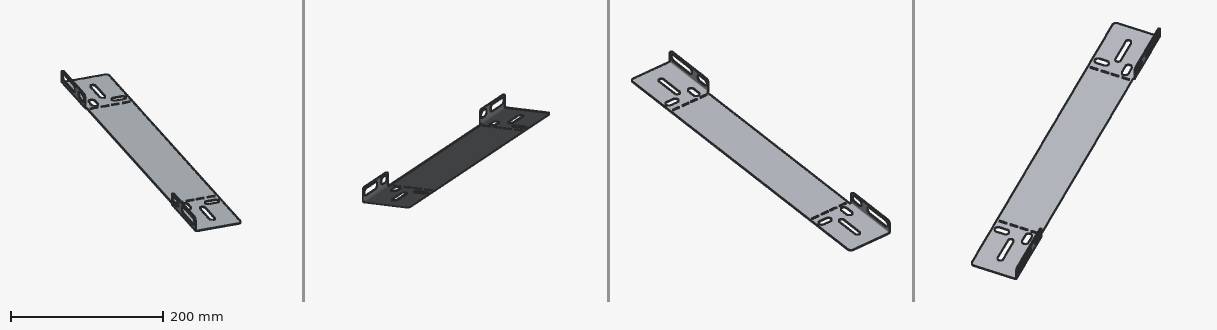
import cadquery as cq

length = 473.0
depth = 66.0
height = 20.0
thickness = 1.5
bend_radius = 3.0
plate_corner_radius = 5.0

half_length = length / 2
flat_depth = depth - bend_radius
flat_front = -depth / 2 + bend_radius
flat_middle = flat_front + flat_depth / 2

flange_length = 83.0
flange_corner_radius = 5.0
flange_slot_width = 10.0
flange_slot_height = 12.0
flange_long_slot_length = 44.5
flange_long_slot_inset = 25.5
flange_short_slot_length = 20.0
flange_short_slot_inset = 70.0

long_slot_length = 41.5
long_slot_width = 7.5
long_slot_inset = 42.5
short_slot_length = 20.0
short_slot_width = 9.0
short_slot_inset = 72.0
short_slot_offset = 18.0

perforation_length = 10.0
perforation_width = 1.5
perforation_inset = 86.5
inner_perforation_offset = 7.0
outer_perforation_offset = 22.5


def make_plate():
    """Flat sheet with its two back corners rounded."""
    plate = cq.Workplane("XY").box(length, flat_depth, thickness, centered=(True, False, False))
    plate = plate.translate((0, flat_front, 0))
    return plate.edges("|Z and >Y").fillet(plate_corner_radius)


def make_flange():
    """Bend and upright flange at the left end, with rounded top corners."""
    inner_radius = bend_radius - thickness
    flange = (
        cq.Workplane("YZ", origin=(-half_length, 0, 0))
        .moveTo(flat_front, 0)
        .radiusArc((flat_front - bend_radius, bend_radius), bend_radius)
        .lineTo(flat_front - bend_radius, height)
        .lineTo(flat_front - inner_radius, height)
        .lineTo(flat_front - inner_radius, bend_radius)
        .radiusArc((flat_front, thickness), -inner_radius)
        .close()
        .extrude(flange_length)
    )
    return flange.edges("|Y and >Z").fillet(flange_corner_radius)


def flange_slot(inset, slot_length):
    """Cutter for a slot through the left flange."""
    return (
        cq.Workplane("XZ", origin=(inset - half_length, flat_front, flange_slot_height))
        .slot2D(slot_length, flange_slot_width)
        .extrude(bend_radius)
    )


def plate_slot(inset, offset, slot_length, slot_width, angle=0):
    """Cutter for a slot through the plate, offset in Y from the middle of the flat."""
    return (
        cq.Workplane("XY", origin=(inset - half_length, flat_middle + offset, 0))
        .slot2D(slot_length, slot_width, angle)
        .extrude(thickness)
    )


def perforation(offset):
    """Cutter for one narrow rectangular perforation running along Y."""
    return (
        cq.Workplane("XY", origin=(perforation_inset - half_length, flat_middle + offset, 0))
        .rect(perforation_width, perforation_length)
        .extrude(thickness)
    )


left_cutters = [
    flange_slot(flange_long_slot_inset, flange_long_slot_length),
    flange_slot(flange_short_slot_inset, flange_short_slot_length),
    plate_slot(long_slot_inset, 0, long_slot_length, long_slot_width),
    plate_slot(short_slot_inset, short_slot_offset, short_slot_length, short_slot_width, 90),
    plate_slot(short_slot_inset, -short_slot_offset, short_slot_length, short_slot_width),
]
for distance in (inner_perforation_offset, outer_perforation_offset):
    left_cutters.append(perforation(distance))
    left_cutters.append(perforation(-distance))

left_flange = make_flange()
result = make_plate().union(left_flange).union(left_flange.mirror("YZ"))
for cutter in left_cutters:
    result = result.cut(cutter).cut(cutter.mirror("YZ"))